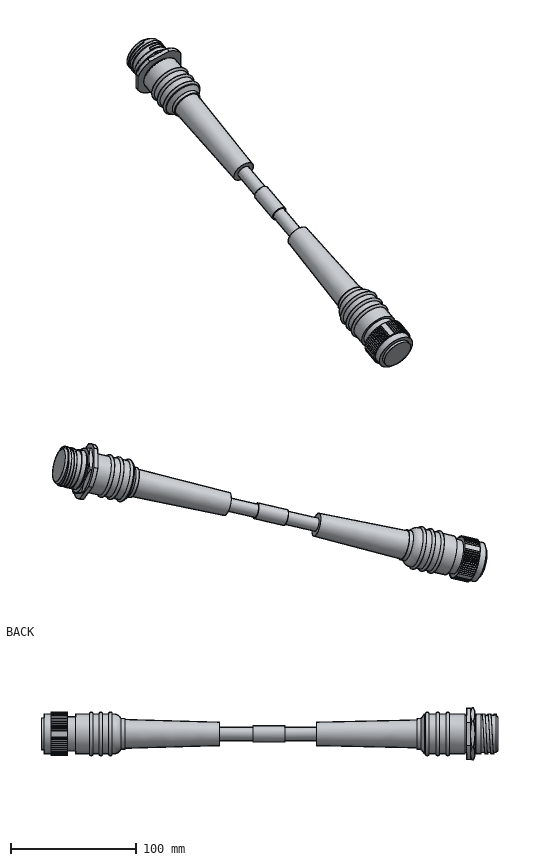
import cadquery as cq
import math

total_length = 365.0

nose_face_radius = 13.5
nose_radius = 15.0
nose_chamfer_length = 2.0
thread_crest_radius = 16.0
thread_width = 2.2
thread_pitch = 4.7
thread_start = 2.2
thread_turns = 2
thread_root_overlap = 0.7
thread_shoulder_start = 13.5
thread_shoulder_end = 17.5

hexagon_corner_size = 42.0
hexagon_start = 18.5
hexagon_chamfer_radius = 18.3
hexagon_chamfer_length = 1.0
flange_start = 22.0
flange_end = 25.2
flange_size = 41.3
flange_corner_radius = 22.5

grip_radius = 16.0
ridge_radius = 17.5
ridge_width = 3.0
boot_collar_radius = 12.5
boot_small_radius = 9.5

receptacle_grip_start = 26.3
receptacle_ridges = (40.0, 48.2, 56.5)
receptacle_cone_start = 58.8
receptacle_collar_start = 61.7
receptacle_collar_end = 64.5
receptacle_boot_large_radius = 11.5
receptacle_end = 145.5

cable_radius = 5.5
sleeve_radius = 6.5
sleeve_start = 170.5
sleeve_end = 196.0

plug_boot_start = 222.7
plug_boot_large_radius = 11.7
plug_collar_start = 298.3
plug_collar_end = 301.5
plug_grip_start = 307.5
plug_ridges = (310.0, 317.5, 325.5)
plug_grip_end = 337.7
plug_neck_radius = 14.0
coupling_start = 344.3
coupling_end = 357.5
coupling_radius = 17.5
knurl_root_radius = 16.8
knurl_grooves_per_quarter = 12
coupling_pad_width = 4.7
coupling_pad_count = 4
plug_rim_radius = 16.0
plug_rim_end = 363.0
plug_tip_radius = 12.8


def disc(start, end, radius):
    """Cylinder around the X axis."""
    return cq.Workplane("YZ").workplane(offset=start).circle(radius).extrude(end - start)


def spin(profile):
    """Close a profile drawn in X and radius onto the axis and turn it about X."""
    return profile.close().revolve(360, (0, 0, 0), (1, 0, 0))


def add_ridges(profile, centres):
    """Continue a grip profile along X with one rounded ridge at each centre."""
    for centre in centres:
        profile = profile.lineTo(centre - ridge_width / 2, grip_radius)
        profile = profile.threePointArc((centre, ridge_radius), (centre + ridge_width / 2, grip_radius))
    return profile


def make_nose():
    """Chamfered nose with a shoulder, reaching back to the hexagon collar."""
    return spin(
        cq.Workplane("XY")
        .lineTo(0, nose_face_radius)
        .lineTo(nose_chamfer_length, nose_radius)
        .lineTo(thread_shoulder_start, nose_radius)
        .lineTo(thread_shoulder_start, thread_crest_radius)
        .lineTo(thread_shoulder_end, thread_crest_radius)
        .lineTo(thread_shoulder_end, nose_radius)
        .lineTo(hexagon_start, nose_radius)
        .lineTo(hexagon_start, 0)
    )


def make_thread():
    """Right-handed raised thread that starts on the +Z side of the nose."""
    path_radius = nose_radius - thread_root_overlap
    height = thread_crest_radius - path_radius
    path = cq.Wire.makeHelix(thread_pitch, thread_pitch * thread_turns, path_radius)
    thread = (
        cq.Workplane("XZ")
        .center(path_radius + height / 2, 0)
        .rect(height, thread_width)
        .sweep(cq.Workplane(path), isFrenet=True)
    )
    thread = thread.rotate((0, 0, 0), (0, 1, 0), 90)
    return thread.rotate((0, 0, 0), (1, 0, 0), 180).translate((thread_start, 0, 0))


def make_hexagon():
    """Hexagon collar with two corners on the Z axis and chamfered corners."""
    length = flange_start - hexagon_start
    hexagon = (
        cq.Workplane("YZ")
        .workplane(offset=hexagon_start)
        .transformed(rotate=(0, 0, 90))
        .polygon(6, hexagon_corner_size)
        .extrude(length)
    )
    corner_radius = hexagon_corner_size / 2
    chamfer_cone = spin(
        cq.Workplane("XY")
        .moveTo(hexagon_start, 0)
        .lineTo(hexagon_start, hexagon_chamfer_radius)
        .lineTo(hexagon_start + hexagon_chamfer_length, corner_radius)
        .lineTo(flange_start - hexagon_chamfer_length, corner_radius)
        .lineTo(flange_start, hexagon_chamfer_radius)
        .lineTo(flange_start, 0)
    )
    return hexagon.intersect(chamfer_cone)


def make_flange():
    """Square flange with its corners rounded about the X axis."""
    square = (
        cq.Workplane("YZ")
        .workplane(offset=flange_start)
        .rect(flange_size, flange_size)
        .extrude(flange_end - flange_start)
    )
    return square.intersect(disc(flange_start, flange_end, flange_corner_radius))


def make_receptacle_grip():
    """Neck behind the flange, ridged grip, cone, collar and tapered boot."""
    profile = (
        cq.Workplane("XY")
        .moveTo(flange_end, 0)
        .lineTo(flange_end, nose_radius)
        .lineTo(receptacle_grip_start, nose_radius)
        .lineTo(receptacle_grip_start, grip_radius)
    )
    return spin(
        add_ridges(profile, receptacle_ridges)
        .lineTo(receptacle_cone_start, grip_radius)
        .lineTo(receptacle_collar_start, boot_collar_radius)
        .lineTo(receptacle_collar_end, boot_collar_radius)
        .lineTo(receptacle_collar_end, receptacle_boot_large_radius)
        .lineTo(receptacle_end, boot_small_radius)
        .lineTo(receptacle_end, 0)
    )


def make_receptacle():
    receptacle = make_nose().union(make_thread())
    receptacle = receptacle.union(make_hexagon()).union(make_flange())
    return receptacle.union(make_receptacle_grip())


def make_cable():
    """Cable from the receptacle boot to the plug boot, with the label sleeve."""
    cable = disc(receptacle_end, plug_boot_start, cable_radius)
    return cable.union(disc(sleeve_start, sleeve_end, sleeve_radius))


def make_plug_shell():
    """Tapered boot, rounded shoulder, ridged grip and stepped front end."""
    shoulder_length = plug_grip_start - plug_collar_end
    shoulder_height = grip_radius - boot_collar_radius
    shoulder_radius = (shoulder_length**2 + shoulder_height**2) / (2 * shoulder_height)
    profile = (
        cq.Workplane("XY")
        .moveTo(plug_boot_start, 0)
        .lineTo(plug_boot_start, boot_small_radius)
        .lineTo(plug_collar_start, plug_boot_large_radius)
        .lineTo(plug_collar_start, boot_collar_radius)
        .lineTo(plug_collar_end, boot_collar_radius)
        .radiusArc((plug_grip_start, grip_radius), shoulder_radius)
    )
    return spin(
        add_ridges(profile, plug_ridges)
        .lineTo(plug_grip_end, grip_radius)
        .lineTo(plug_grip_end, plug_neck_radius)
        .lineTo(coupling_end, plug_neck_radius)
        .lineTo(coupling_end, plug_rim_radius)
        .lineTo(plug_rim_end, plug_rim_radius)
        .lineTo(plug_rim_end, plug_tip_radius)
        .lineTo(total_length, plug_tip_radius)
        .lineTo(total_length, 0)
    )


def make_coupling_ring():
    """Ring with four plain pads and V grooves along X in each quarter between them."""
    pad_angle = 2 * math.asin(coupling_pad_width / 2 / coupling_radius)
    quarter = 2 * math.pi / coupling_pad_count
    half_step = (quarter - pad_angle) / (2 * knurl_grooves_per_quarter)
    outline = []
    for pad in range(coupling_pad_count):
        first_crest = pad * quarter + pad_angle / 2
        for corner in range(2 * knurl_grooves_per_quarter + 1):
            radius = knurl_root_radius if corner % 2 else coupling_radius
            angle = first_crest + corner * half_step
            outline.append((radius * math.cos(angle), radius * math.sin(angle)))
    return (
        cq.Workplane("YZ")
        .workplane(offset=coupling_start)
        .polyline(outline)
        .close()
        .extrude(coupling_end - coupling_start)
    )


def make_plug_cable():
    """Plug and cable as one moulded body."""
    return make_cable().union(make_plug_shell()).union(make_coupling_ring())


receptacle = make_receptacle()
plug_cable = make_plug_cable()

result = cq.Compound.makeCompound([receptacle.solids().val(), plug_cable.solids().val()])